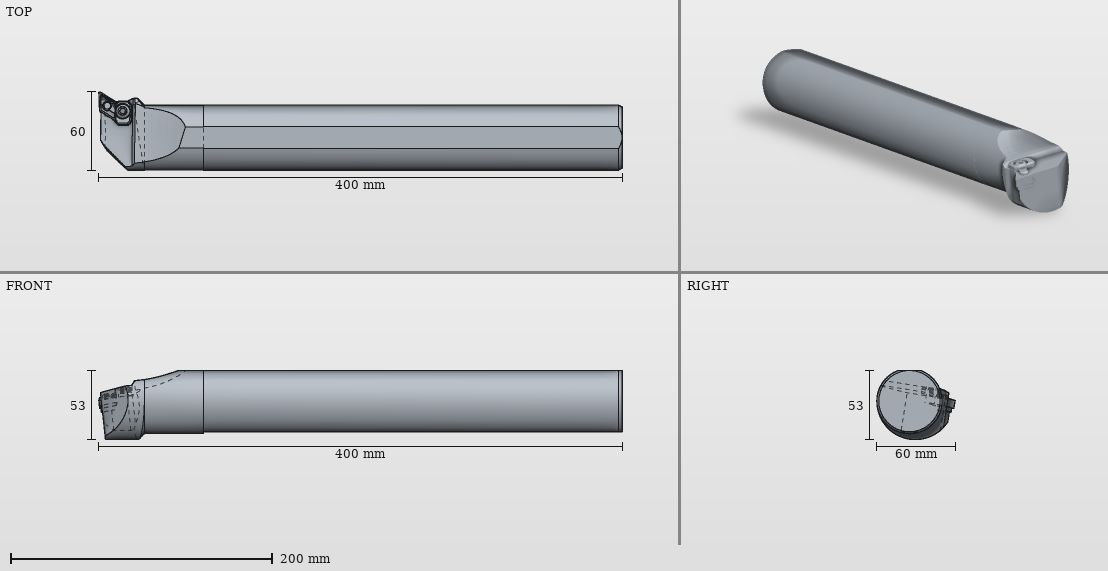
import cadquery as cq
import math

total_length = 400.0
shank_radius = 25.0
neck_radius = 24.85
neck_end = 80.0
flat_height = 23.5
end_chamfer_length = 3.0
end_chamfer_depth = 1.6

tip_reach = 35.0
head_radius = 29.48
head_offset = head_radius - shank_radius
head_end = 34.8
slope_top = (22.5, 10.2)
slope_foot = (30.5, 6.2)

tip_height = 0.4
rake_slope_x = 0.105
rake_slope_y = 0.16

cut_size = 80.0

front_face_u = 1.9
facet_start_v = -37.2
facet_end_u = 3.4
facet_end_v = -40.0
bevel_length = 30.0

flank_gap = 1.5
flank_v = -7.4
hump_v = -5.2
hump_start_u = 22.0
hump_u = 26.0

step_foot_u = 26.3
step_top_u = 28.7
step_height = 3.6
scoop_mid = (50.0, 5.8)
scoop_end = (70.0, 12.4)

insert_circle = 12.7
insert_angle = 55.0
insert_thickness = 6.35
insert_nose = 0.8
insert_rim = 1.2
insert_recess = 0.3
edge_lead = 3.0
shim_thickness = 3.2
shim_inset = 0.9

clamp_height = 4.2
clamp_front_u = 13.0
clamp_back_u = 25.6
clamp_far_v = -26.0
clamp_near_v = -7.6
clamp_corner = 2.5
clamp_top_chamfer = 1.0
clamp_nose_radius = 3.6
clamp_nose_height = 2.4
clamp_nose_chamfer = 1.0
clamp_arm_height = 1.8
clamp_arm_tip = 5.0
clamp_arm_root = 10.0
screw_u = 19.0
screw_v = -15.5
screw_recess_radius = 5.9
screw_recess_depth = 2.2
screw_head_radius = 5.4
screw_top_radius = 3.4
screw_socket_radius = 2.4
socket_sides = 6

rake_plane = cq.Plane(
    origin=(0, tip_reach, tip_height),
    xDir=(1, 0, rake_slope_x),
    normal=(-rake_slope_x, rake_slope_y, 1),
)
upright_edges = cq.selectors.ParallelDirSelector(rake_plane.zDir)
top_face = cq.selectors.DirectionMinMaxSelector(rake_plane.zDir)


def on_rake(height=0.0):
    """Workplane parallel to the rake plane, raised along its normal."""
    return cq.Workplane(rake_plane).workplane(offset=height)


half_angle = math.radians(insert_angle / 2)
bisector = math.radians(edge_lead - 90) + half_angle
centre_distance = (insert_circle / 2 - insert_nose) / math.sin(half_angle)
insert_u = insert_nose + centre_distance * math.cos(bisector)
insert_v = -insert_nose + centre_distance * math.sin(bisector)


def rhombus(base, height, inset):
    """Insert-shaped prism on the rake axes, shrunk evenly by `inset`."""
    radius = insert_circle / 2 - inset
    long_half = radius / math.sin(half_angle)
    short_half = radius / math.cos(half_angle)
    along_u = math.cos(bisector)
    along_v = math.sin(bisector)
    corners = [
        (insert_u + long_half * along_u, insert_v + long_half * along_v),
        (insert_u - short_half * along_v, insert_v + short_half * along_u),
        (insert_u - long_half * along_u, insert_v - long_half * along_v),
        (insert_u + short_half * along_v, insert_v - short_half * along_u),
    ]
    return on_rake(base).polyline(corners).close().extrude(height).edges(upright_edges).fillet(insert_nose)


def shank():
    """Neck and shank with one flat on top along both and a flat below on the shank only."""
    neck = cq.Workplane("YZ").circle(neck_radius).extrude(neck_end)
    bar = (cq.Workplane("XY").moveTo(neck_end, 0).lineTo(neck_end, shank_radius)
           .lineTo(total_length - end_chamfer_length, shank_radius)
           .lineTo(total_length, shank_radius - end_chamfer_depth).lineTo(total_length, 0)
           .close().revolve(360, (0, 0, 0), (1, 0, 0)))
    above = (cq.Workplane("XY").box(total_length, cut_size, cut_size, centered=(False, True, False))
             .translate((0, 0, flat_height)))
    below = (cq.Workplane("XY").box(total_length, cut_size, cut_size, centered=(False, True, False))
             .translate((neck_end, 0, -flat_height - cut_size)))
    return neck.union(bar).cut(above).cut(below)


def head():
    """Head round, turned down at its back by a 45 degree cone about the bar axis."""
    full = cq.Workplane("YZ").center(head_offset, 0).circle(head_radius).extrude(head_end)
    cone = (cq.Workplane("XY").lineTo(0, shank_radius + head_end).lineTo(head_end, shank_radius)
            .lineTo(head_end, 0).close().revolve(360, (0, 0, 0), (1, 0, 0)))
    upper_side = (cq.Workplane("YZ").rect(-cut_size, cut_size, centered=False).extrude(head_end)
                  .cut(cq.Workplane("YZ").circle(shank_radius).extrude(head_end)))
    corner = (cq.Workplane("YZ").moveTo(*slope_top).lineTo(*slope_foot).lineTo(cut_size, slope_foot[1])
              .lineTo(cut_size, cut_size).lineTo(slope_top[0], cut_size).close().extrude(head_end))
    return full.intersect(cone).cut(upper_side).cut(corner)


def front_cut():
    """Stock in front of the end face, its small facet and the 45 degree bevel."""
    return (on_rake(-cut_size).moveTo(front_face_u, cut_size).lineTo(front_face_u, facet_start_v)
            .lineTo(facet_end_u, facet_end_v).line(bevel_length, -bevel_length)
            .lineTo(-cut_size, facet_end_v - bevel_length).lineTo(-cut_size, cut_size).close()
            .extrude(2 * cut_size))


def flank_cut():
    """Stock outside the +Y flank, which runs along the insert edge, then along the clamp."""
    edge_angle = bisector + half_angle
    edge_slope = math.tan(edge_angle)
    lift = flank_gap / math.cos(edge_angle)
    corner_u = (flank_v + lift) / edge_slope
    return (on_rake(-cut_size).moveTo(-cut_size, -cut_size * edge_slope - lift).lineTo(corner_u, flank_v)
            .lineTo(hump_start_u, flank_v).lineTo(hump_u, hump_v).lineTo(head_end, hump_v)
            .lineTo(head_end, cut_size).lineTo(-cut_size, 2 * cut_size).close().extrude(2 * cut_size))


def chip_scoop():
    """Everything above the rake plane, the step and the hollow behind it."""
    side = cq.Plane(origin=rake_plane.origin, xDir=rake_plane.xDir, normal=-rake_plane.yDir)
    return (cq.Workplane(side).moveTo(-cut_size, 0).lineTo(step_foot_u, 0).lineTo(step_top_u, step_height)
            .threePointArc(scoop_mid, scoop_end).lineTo(scoop_end[0], cut_size).lineTo(-cut_size, cut_size)
            .close().extrude(cut_size, both=True))


def clamp():
    """Block with a sunk screw, and an arm that ends in a round nose over the insert."""
    block = (on_rake().moveTo(clamp_front_u, clamp_far_v)
             .lineTo(clamp_back_u, clamp_far_v).lineTo(clamp_back_u, clamp_near_v)
             .lineTo(clamp_front_u, clamp_near_v).close().extrude(clamp_height)
             .edges(upright_edges).chamfer(clamp_corner)
             .faces(top_face).chamfer(clamp_top_chamfer))
    arm = (on_rake(-insert_recess).moveTo(insert_u, insert_v + clamp_arm_tip / 2)
           .lineTo(screw_u, screw_v + clamp_arm_root / 2).lineTo(screw_u, screw_v - clamp_arm_root / 2)
           .lineTo(insert_u, insert_v - clamp_arm_tip / 2).close().extrude(insert_recess + clamp_arm_height))
    nose = (on_rake(-insert_recess).center(insert_u, insert_v).circle(clamp_nose_radius)
            .extrude(insert_recess + clamp_nose_height).faces(top_face).chamfer(clamp_nose_chamfer))
    recess_floor = clamp_height - screw_recess_depth
    recess = on_rake(recess_floor).center(screw_u, screw_v).circle(screw_recess_radius).extrude(clamp_height)
    screw = (on_rake(recess_floor).center(screw_u, screw_v).circle(screw_head_radius)
             .workplane(offset=screw_recess_depth).circle(screw_top_radius).loft())
    socket = (on_rake(recess_floor).center(screw_u, screw_v).polygon(socket_sides, 2 * screw_socket_radius)
              .extrude(clamp_height))
    return block.union(arm).union(nose).cut(recess).union(screw.cut(socket))


def insert():
    """Insert with a raised rim around its top face."""
    recess = rhombus(-insert_recess, insert_recess, insert_rim)
    return rhombus(-insert_thickness, insert_thickness, 0).cut(recess)


insert_body = insert()

shim = rhombus(-insert_thickness - shim_thickness, shim_thickness, shim_inset)
holder = shank().union(head()).cut(front_cut()).cut(flank_cut()).cut(chip_scoop())
holder = holder.union(shim).union(clamp()).cut(insert_body)

result = cq.Compound.makeCompound([holder.solids().val(), insert_body.solids().val()])